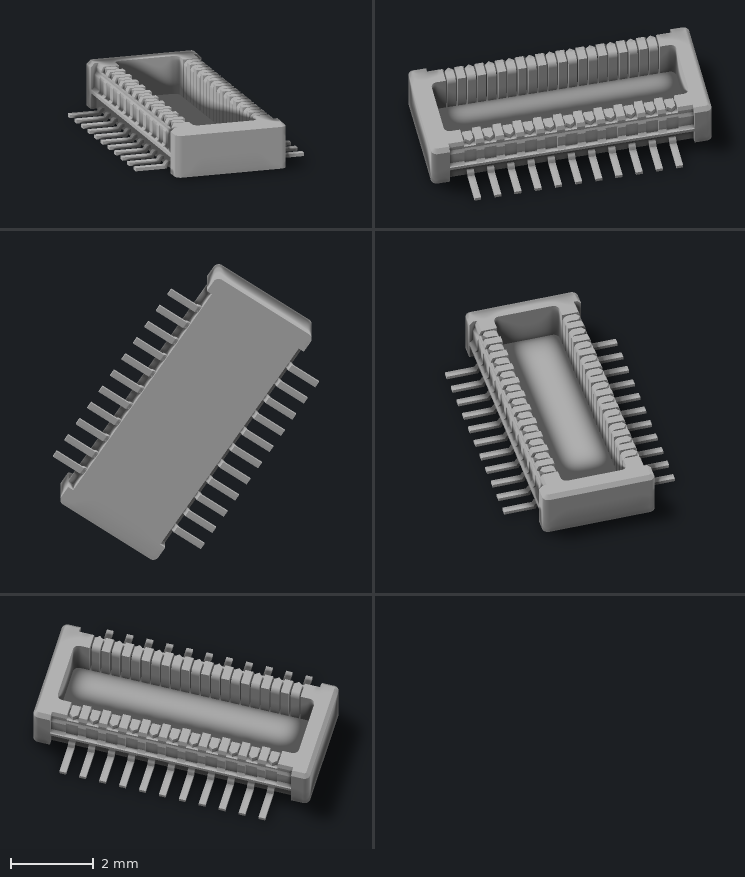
import cadquery as cq
import math

LENGTH = 6.95
WIDTH = 2.82
HEIGHT = 1.15
CORNER_RADIUS = 0.145
TOP_CHAMFER = 0.1

CAVITY_LENGTH = 6.06
WALL = 0.59
CAVITY_CORNER_RADIUS = 0.145
CAVITY_FLOOR = 0.195

SETBACK = 0.145
LEDGE_BOTTOM = 0.4
LEDGE_TOP = 0.485
LEDGE_WIDTH = 0.035
RAIL_SETBACK = 0.1
RAIL_FACE_BOTTOM = LEDGE_TOP + (RAIL_SETBACK - LEDGE_WIDTH)
RAIL_FACE_TOP = 0.855
RAIL_TOP = 0.945
WALL_CHAMFER_WIDTH = 0.05

CONTACT_COUNT = 11
PITCH = 0.5
SLOT_WIDTH = 0.3
SLOT_DEPTH = 0.145
RAIL_NOTCH_DEPTH = 0.12
SHELF_END = 0.445
CONTACT_WIDTH = 0.21
TIP_START = 0.18
TIP_LENGTH = 0.08
CONTACT_RADIUS = 0.145

LEAD_SPAN = 4.3
LEAD_WIDTH = 0.17
LEAD_THICKNESS = 0.08
LEAD_TOP = 0.18
LEAD_BEND_RADIUS = 0.09
LEAD_SLOPE = math.radians(60)
FOOT_START = 1.41
LEAD_ROOT = 0.14

SIDE = WIDTH / 2
CONTACT_XS = [(i - (CONTACT_COUNT - 1) / 2) * PITCH for i in range(CONTACT_COUNT)]


def block(x_size, y_start, y_end, z_start, z_end):
    """Box centred on X between the given Y and Z limits."""
    size = (x_size, y_end - y_start, z_end - z_start)
    return cq.Workplane("XY").box(*size, centered=(True, False, False)).translate((0, y_start, z_start))


def along_x(sketch, length):
    """Extrude a closed YZ outline by a length centred on X."""
    return sketch.extrude(length / 2, both=True)


def at_contacts(solid):
    """Copies of a +Y side solid at every contact position."""
    copies = [solid.val().translate(cq.Vector(x, 0, 0)) for x in CONTACT_XS]
    return cq.Workplane("XY").newObject(copies).combine()


def both_sides(solid):
    """A +Y side solid together with its mirror image on the -Y side."""
    return solid.union(solid.mirror("XZ"))


def make_housing():
    housing = (
        cq.Workplane("XY")
        .box(LENGTH, WIDTH, HEIGHT, centered=(True, True, False))
        .edges("|Z")
        .fillet(CORNER_RADIUS)
        .faces(">Z")
        .chamfer(TOP_CHAMFER)
    )
    cavity = (
        block(CAVITY_LENGTH, WALL - SIDE, SIDE - WALL, CAVITY_FLOOR, HEIGHT)
        .edges("|Z")
        .fillet(CAVITY_CORNER_RADIUS)
    )
    return housing.cut(cavity)


def make_side_relief():
    """Material removed outside a long wall, above and below its ledge."""
    upper = along_x(
        cq.Workplane("YZ").polyline([
            (SIDE, LEDGE_TOP),
            (SIDE - LEDGE_WIDTH, LEDGE_TOP),
            (SIDE - RAIL_SETBACK, RAIL_FACE_BOTTOM),
            (SIDE - RAIL_SETBACK, RAIL_FACE_TOP),
            (SIDE - SETBACK, RAIL_TOP),
            (SIDE - SETBACK, HEIGHT - TOP_CHAMFER),
            (SIDE - SETBACK - WALL_CHAMFER_WIDTH, HEIGHT),
            (SIDE, HEIGHT),
        ]).close(),
        CAVITY_LENGTH,
    )
    lower = block(CAVITY_LENGTH, SIDE - SETBACK, SIDE, 0, LEDGE_BOTTOM)
    return upper.union(lower)


def make_contact_slot():
    """Slot across the wall top, the groove down the cavity side and the notch in the rail."""
    slot_top = block(SLOT_WIDTH, SIDE - WALL, SIDE, HEIGHT - SLOT_DEPTH, HEIGHT)
    groove = block(SLOT_WIDTH, SIDE - WALL, SIDE - SHELF_END, CAVITY_FLOOR, HEIGHT)
    notch = block(SLOT_WIDTH, SIDE - RAIL_NOTCH_DEPTH, SIDE, LEDGE_TOP, RAIL_TOP)
    return slot_top.union(groove).union(notch)


def make_contact():
    """Upright contact, pointed outwards on top and rounded towards the cavity."""
    half = CONTACT_WIDTH / 2
    inner = SIDE - WALL
    tip = SIDE - TIP_START
    shoulder = tip - TIP_LENGTH
    outline = [(-half, inner), (half, inner), (half, shoulder), (0, tip), (-half, shoulder)]
    return (
        cq.Workplane("XY")
        .workplane(offset=CAVITY_FLOOR)
        .polyline(outline)
        .close()
        .extrude(HEIGHT - CAVITY_FLOOR)
        .faces("<Y")
        .edges(">Z")
        .fillet(CONTACT_RADIUS)
    )


def make_lead():
    """Strip leaving the wall, bending down and running out flat as a foot."""
    sin_slope = math.sin(LEAD_SLOPE)
    cos_slope = math.cos(LEAD_SLOPE)
    bend_z = LEAD_TOP - LEAD_BEND_RADIUS
    slope_drop = bend_z + LEAD_BEND_RADIUS * cos_slope - LEAD_THICKNESS
    bend_y = FOOT_START - slope_drop / math.tan(LEAD_SLOPE) - LEAD_BEND_RADIUS * sin_slope
    inner_radius = LEAD_BEND_RADIUS - LEAD_THICKNESS

    def on_bend(radius, angle):
        return (bend_y + radius * math.sin(angle), bend_z + radius * math.cos(angle))

    root = SIDE - SETBACK - LEAD_ROOT
    heel = FOOT_START - LEAD_THICKNESS * math.tan(LEAD_SLOPE / 2)
    tip = LEAD_SPAN / 2
    outline = (
        cq.Workplane("YZ")
        .moveTo(root, LEAD_TOP)
        .lineTo(*on_bend(LEAD_BEND_RADIUS, 0))
        .threePointArc(on_bend(LEAD_BEND_RADIUS, LEAD_SLOPE / 2), on_bend(LEAD_BEND_RADIUS, LEAD_SLOPE))
        .lineTo(FOOT_START, LEAD_THICKNESS)
        .lineTo(tip, LEAD_THICKNESS)
        .lineTo(tip, 0)
        .lineTo(heel, 0)
        .lineTo(*on_bend(inner_radius, LEAD_SLOPE))
        .threePointArc(on_bend(inner_radius, LEAD_SLOPE / 2), on_bend(inner_radius, 0))
        .lineTo(root, LEAD_TOP - LEAD_THICKNESS)
        .close()
    )
    return along_x(outline, LEAD_WIDTH)


result = (
    make_housing()
    .cut(both_sides(make_side_relief()))
    .cut(both_sides(at_contacts(make_contact_slot())))
    .union(both_sides(at_contacts(make_contact())))
    .union(both_sides(at_contacts(make_lead())))
)